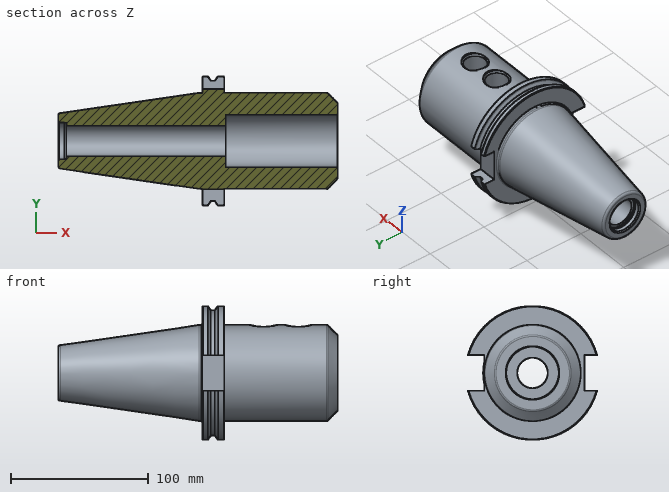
import cadquery as cq
import math

length = 203.2

gauge_diameter = 70.0
gauge_x = 102.2
taper_rate = 7 / 24
nose_diameter = gauge_diameter - gauge_x * taper_rate
nose_fillet = 2.0

flange_diameter = 97.3
flange_start_x = 104.9
root_radius = 1.0
flange_end_x = 120.7
flange_chamfer = 0.5
groove_depth = 3.0
groove_floor_start_x = 111.0
groove_floor_end_x = 113.8
groove_flank_run = 1.8
groove_edge_chamfer = 0.5

slot_width = 25.8
slot_floor_front = 35.2
slot_floor_back = 37.8

shank_diameter = 70.1
cone_size = 7.7
cone_fillet = 1.6

thread_diameter = 26.6
thread_mouth_diameter = 28.7
thread_depth = 4.5
seat_diameter = 26.2
seat_depth = 6.0
through_diameter = 22.0
tool_bore_diameter = 38.0
tool_bore_mouth_diameter = 39.0
tool_bore_depth = 81.3

screw_diameter = 17.7
screw_mouth_diameter = 20.1
screw_chamfer_depth = (screw_mouth_diameter - screw_diameter) / 2
first_screw_x = 149.2
screw_spacing = 25.2


def revolve_profile(points):
    """Revolve a closed outline of (x, radius) points about the X axis."""
    return cq.Workplane("XY").polyline(points).close().revolve(360, (0, 0, 0), (1, 0, 0))


def make_taper():
    """Taper with a rounded nose and a short cylindrical collar up to the flange."""
    radius = gauge_diameter / 2
    taper = revolve_profile([
        (0, 0),
        (0, nose_diameter / 2),
        (gauge_x, radius),
        (flange_start_x, radius),
        (flange_start_x, 0),
    ])
    return taper.faces("<X").edges().fillet(nose_fillet)


def make_root():
    """Concave quarter-round ring joining the collar to the flange face."""
    radius = gauge_diameter / 2
    start_x = flange_start_x - root_radius
    arc_offset = root_radius * math.sqrt(0.5)
    return (
        cq.Workplane("XY")
        .moveTo(start_x, 0)
        .lineTo(start_x, radius)
        .threePointArc(
            (start_x + arc_offset, radius + root_radius - arc_offset),
            (flange_start_x, radius + root_radius),
        )
        .lineTo(flange_start_x, 0)
        .close()
        .revolve(360, (0, 0, 0), (1, 0, 0))
    )


def make_flange():
    radius = flange_diameter / 2
    flange = (
        cq.Workplane("YZ", origin=(flange_start_x, 0, 0))
        .circle(radius)
        .extrude(flange_end_x - flange_start_x)
        .faces("<X or >X")
        .edges()
        .chamfer(flange_chamfer)
    )
    floor_radius = radius - groove_depth
    groove_start_x = groove_floor_start_x - groove_flank_run
    groove_end_x = groove_floor_end_x + groove_flank_run
    groove = revolve_profile([
        (groove_start_x - groove_edge_chamfer, radius),
        (groove_start_x, radius - groove_edge_chamfer),
        (groove_floor_start_x, floor_radius),
        (groove_floor_end_x, floor_radius),
        (groove_end_x, radius - groove_edge_chamfer),
        (groove_end_x + groove_edge_chamfer, radius),
    ])
    return flange.cut(groove)


def make_drive_slot(floor_distance, side):
    """Slot through the flange thickness; side is -1 for -Y and +1 for +Y."""
    slot_depth = flange_diameter / 2 - floor_distance
    return cq.Workplane("XY").box(
        flange_end_x - flange_start_x, slot_depth, slot_width
    ).translate((
        (flange_start_x + flange_end_x) / 2,
        side * (floor_distance + slot_depth / 2),
        0,
    ))


def make_shank():
    """Cylinder whose front cone has both of its rims rounded."""
    return (
        cq.Workplane("YZ", origin=(flange_start_x, 0, 0))
        .circle(shank_diameter / 2)
        .extrude(length - flange_start_x)
        .faces(">X")
        .edges()
        .chamfer(cone_size)
        .edges(cq.selectors.BoxSelector(
            (length - cone_size - cone_fillet, -shank_diameter, -shank_diameter),
            (length + cone_fillet, shank_diameter, shank_diameter),
        ))
        .edges("%CIRCLE")
        .fillet(cone_fillet)
    )


def make_bore():
    thread_mouth_depth = (thread_mouth_diameter - thread_diameter) / 2
    tool_mouth_depth = (tool_bore_mouth_diameter - tool_bore_diameter) / 2
    tool_bore_start_x = length - tool_bore_depth
    return revolve_profile([
        (0, 0),
        (0, thread_mouth_diameter / 2),
        (thread_mouth_depth, thread_diameter / 2),
        (thread_depth, thread_diameter / 2),
        (thread_depth, seat_diameter / 2),
        (seat_depth, seat_diameter / 2),
        (seat_depth, through_diameter / 2),
        (tool_bore_start_x, through_diameter / 2),
        (tool_bore_start_x, tool_bore_diameter / 2),
        (length - tool_mouth_depth, tool_bore_diameter / 2),
        (length, tool_bore_mouth_diameter / 2),
        (length, 0),
    ])


def make_screw_hole(x):
    """Hole from the axis to the top of the shank, widening through a cone to a short mouth."""
    top = shank_diameter / 2
    outline = [
        (0, 0),
        (screw_diameter / 2, 0),
        (screw_diameter / 2, top - 2 * screw_chamfer_depth),
        (screw_mouth_diameter / 2, top - screw_chamfer_depth),
        (screw_mouth_diameter / 2, top),
        (0, top),
    ]
    hole = cq.Workplane("XZ").polyline(outline).close().revolve(360, (0, 0, 0), (0, 1, 0))
    return hole.translate((x, 0, 0))


result = make_taper().union(make_root()).union(make_flange()).union(make_shank())
result = result.cut(make_drive_slot(slot_floor_front, -1))
result = result.cut(make_drive_slot(slot_floor_back, 1))
result = result.cut(make_bore())
for screw_index in range(2):
    result = result.cut(make_screw_hole(first_screw_x + screw_index * screw_spacing))